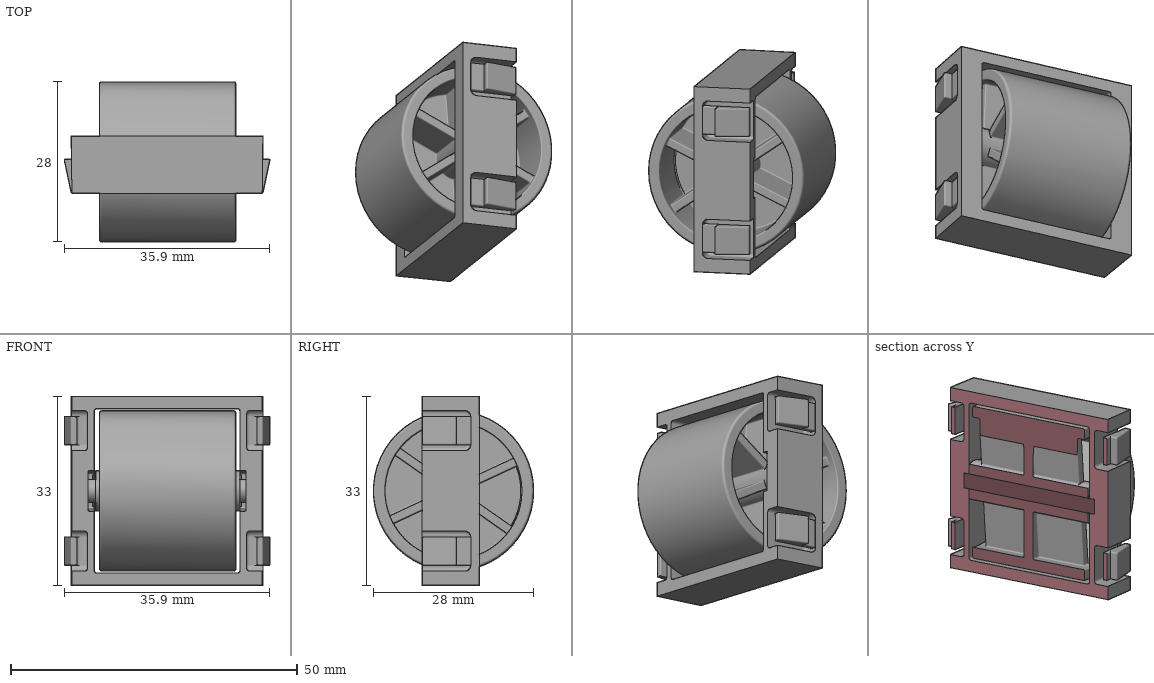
import cadquery as cq
import math

FRAME_REAR_WIDTH = 33.53
FRAME_FRONT_WIDTH = 33.2
FRAME_HEIGHT = 33.0
FRAME_REAR_Y = 4.52
FRAME_FRONT_Y = -5.5
WINDOW_WIDTH = 25.4
WINDOW_HEIGHT = 28.65
WINDOW_CORNER_RADIUS = 0.43

AXLE_RADIUS = 2.0
SLOT_DEPTH = 1.08
SLOT_MOUTH_HEIGHT = 7.1
SLOT_SHOULDER_HEIGHT = 6.03
SLOT_SHOULDER_Y = 0.0
SLOT_FILLET = 0.25
SHOULDER_CHAMFER = 0.3

OVERALL_WIDTH = 35.9
HOOK_CENTER_Z = 10.52
HOOK_HEIGHT = 5.0
HOOK_SLOPE_ANGLE = 12.0
HOOK_LEDGE_Y = 0.5
HOOK_FRONT_Y = -5.4
HOOK_EDGE_FILLET = 0.2
HOOK_SLOPE = math.tan(math.radians(HOOK_SLOPE_ANGLE))
HOOK_TIP_ALLOWANCE = HOOK_EDGE_FILLET * (HOOK_SLOPE + math.hypot(1, HOOK_SLOPE) - 1)
HOOK_TIP_X = OVERALL_WIDTH / 2 + HOOK_TIP_ALLOWANCE
HOOK_FRONT_X = HOOK_TIP_X - HOOK_SLOPE * (HOOK_LEDGE_Y - HOOK_FRONT_Y)
ARM_OUTER_X = 16.55
ARM_INNER_X = 15.72
ARM_ROOT_FILLET = 0.43
POCKET_GAP = 1.0
POCKET_FLOOR_X = 13.9
POCKET_REAR_Y = 3.0
POCKET_CORNER_RADIUS = 1.08
POCKET_FLOOR_FILLET = 0.55

ROLLER_OFFSET_X = 0.1
ROLLER_RADIUS = 14.0
ROLLER_WIDTH = 23.85
ROLLER_EDGE_FILLET = 0.43
RIM_INNER_RADIUS = 11.95
HUB_RADIUS = 3.55
HUB_LENGTH = 25.2
HUB_END_FILLET = 0.18
WEB_THICKNESS = 2.0
SPOKE_COUNT = 6
SPOKE_WIDTH = 1.5
SPOKE_START_ANGLE = 25.0
SPOKE_RECESS = 1.5
POCKET_FILLET = 0.2
SPOKE_EDGE_FILLET = 0.2
LIP_FILLET = 0.2

EDGE_MARGIN = 0.05


def box_between(x0, x1, y0, y1, z0, z1):
    """Box given by its limits along each axis."""
    size = (x1 - x0, y1 - y0, z1 - z0)
    return cq.Workplane("XY").box(*size, centered=False).translate((x0, y0, z0))


def frame_blank():
    """Rectangular ring whose left and right sides draw in toward the front."""
    rear, front = FRAME_REAR_WIDTH / 2, FRAME_FRONT_WIDTH / 2
    outline = [
        (-rear, FRAME_REAR_Y),
        (rear, FRAME_REAR_Y),
        (front, FRAME_FRONT_Y),
        (-front, FRAME_FRONT_Y),
    ]
    block = cq.Workplane("XY").polyline(outline).close().extrude(FRAME_HEIGHT / 2, both=True)
    window = (
        cq.Workplane("XZ")
        .rect(WINDOW_WIDTH, WINDOW_HEIGHT)
        .extrude(FRAME_REAR_Y - FRAME_FRONT_Y, both=True)
        .edges("|Y")
        .fillet(WINDOW_CORNER_RADIUS)
    )
    return block.cut(window)


def axle_slot():
    """Cutter for the -X slot: tapered lead-in, shoulder and round axle seat."""
    wall_x = -WINDOW_WIDTH / 2
    floor_x = wall_x - SLOT_DEPTH
    mouth, shoulder = SLOT_MOUTH_HEIGHT / 2, SLOT_SHOULDER_HEIGHT / 2
    outline = [
        (FRAME_FRONT_Y, -mouth),
        (SLOT_SHOULDER_Y, -shoulder),
        (SLOT_SHOULDER_Y, shoulder),
        (FRAME_FRONT_Y, mouth),
    ]
    lead_in = (
        cq.Workplane("YZ", origin=(floor_x, 0, 0))
        .polyline(outline)
        .close()
        .extrude(SLOT_DEPTH)
        .edges("|X and >Y")
        .fillet(SLOT_FILLET)
    )
    lead_in = lead_in.faces("<X").edges("not <Y").fillet(SLOT_FILLET)
    shoulder_bevel = (
        cq.Workplane("XY")
        .polyline([
            (wall_x, SLOT_SHOULDER_Y),
            (wall_x - SHOULDER_CHAMFER, SLOT_SHOULDER_Y),
            (wall_x, SLOT_SHOULDER_Y + SHOULDER_CHAMFER),
        ])
        .close()
        .extrude(shoulder - SLOT_FILLET, both=True)
    )
    seat = cq.Workplane("YZ", origin=(floor_x, 0, 0)).circle(AXLE_RADIUS).extrude(SLOT_DEPTH)
    return lead_in.union(shoulder_bevel).union(seat)


def hook_pocket():
    """Cutter for one -X pocket, open to the side and to the front, centred on z = 0."""
    half_height = HOOK_HEIGHT / 2 + POCKET_GAP
    front_y = FRAME_FRONT_Y - POCKET_CORNER_RADIUS
    pocket = box_between(
        -HOOK_TIP_X, -POCKET_FLOOR_X, front_y, POCKET_REAR_Y, -half_height, half_height
    )
    pocket = pocket.edges("|X and >Y").fillet(POCKET_CORNER_RADIUS)
    return pocket.faces(">X").edges("not <Y").fillet(POCKET_FLOOR_FILLET)


def snap_hook():
    """One -X spring arm with a wedge catch, rooted in the rear wall of its pocket."""
    outline = [
        (-ARM_INNER_X, POCKET_REAR_Y),
        (-ARM_OUTER_X, POCKET_REAR_Y),
        (-ARM_OUTER_X, HOOK_LEDGE_Y),
        (-HOOK_TIP_X, HOOK_LEDGE_Y),
        (-HOOK_FRONT_X, HOOK_FRONT_Y),
        (-ARM_INNER_X, HOOK_FRONT_Y),
    ]
    hook = cq.Workplane("XY").polyline(outline).close().extrude(HOOK_HEIGHT / 2, both=True)
    root_edges = cq.selectors.BoxSelector(
        (-HOOK_TIP_X, POCKET_REAR_Y - EDGE_MARGIN, -HOOK_HEIGHT),
        (0, POCKET_REAR_Y + EDGE_MARGIN, HOOK_HEIGHT),
        boundingbox=True,
    )
    inner_edges = cq.selectors.BoxSelector(
        (-ARM_INNER_X - EDGE_MARGIN, HOOK_FRONT_Y + EDGE_MARGIN, -HOOK_HEIGHT),
        (0, POCKET_REAR_Y + EDGE_MARGIN, HOOK_HEIGHT),
    )
    ledge_corner = cq.selectors.NearestToPointSelector((-ARM_OUTER_X, HOOK_LEDGE_Y, 0))
    kept_sharp = root_edges + inner_edges + ledge_corner
    rounded_edges = cq.selectors.SubtractSelector(cq.selectors.Selector(), kept_sharp)
    hook = hook.edges(rounded_edges).fillet(HOOK_EDGE_FILLET)
    root_fillet = (
        cq.Workplane("XY")
        .moveTo(-ARM_INNER_X, POCKET_REAR_Y)
        .lineTo(-ARM_INNER_X, POCKET_REAR_Y - ARM_ROOT_FILLET)
        .radiusArc((-ARM_INNER_X + ARM_ROOT_FILLET, POCKET_REAR_Y), ARM_ROOT_FILLET)
        .close()
        .extrude(HOOK_HEIGHT / 2, both=True)
    )
    return hook.union(root_fillet)


def make_frame():
    """Frame with an axle slot and two hooks in pockets on each side."""
    frame = frame_blank()
    pocket, hook, slot = hook_pocket(), snap_hook(), axle_slot()
    for mirrored in (False, True):
        side_slot = slot.mirror("YZ") if mirrored else slot
        frame = frame.cut(side_slot)
        for center_z in (-HOOK_CENTER_Z, HOOK_CENTER_Z):
            side_pocket = pocket.mirror("YZ") if mirrored else pocket
            side_hook = hook.mirror("YZ") if mirrored else hook
            frame = frame.cut(side_pocket.translate((0, 0, center_z)))
            frame = frame.union(side_hook.translate((0, 0, center_z)))
    return frame


def x_cylinder(radius, length):
    """Cylinder along X, centred on the origin."""
    return cq.Workplane("YZ", origin=(-length / 2, 0, 0)).circle(radius).extrude(length)


def hub_region():
    """Selects whatever lies near the hub rather than near the rim."""
    half_size = RIM_INNER_RADIUS / 2
    return cq.selectors.BoxSelector(
        (-ROLLER_WIDTH, -half_size, -half_size), (ROLLER_WIDTH, half_size, half_size)
    )


def make_spider():
    """Web and spokes with rounded spoke edges, trimmed to the bore of the rim."""
    face_x = ROLLER_WIDTH / 2 - SPOKE_RECESS
    pocket_depth = face_x - WEB_THICKNESS / 2
    pockets = x_cylinder(ROLLER_RADIUS, pocket_depth).cut(x_cylinder(HUB_RADIUS, pocket_depth))
    spoke_pair = cq.Workplane("XY").box(pocket_depth, 2 * ROLLER_RADIUS, SPOKE_WIDTH)
    for index in range(SPOKE_COUNT // 2):
        angle = SPOKE_START_ANGLE + index * 360 / SPOKE_COUNT
        pockets = pockets.cut(spoke_pair.rotate((0, 0, 0), (1, 0, 0), angle))
    pockets = pockets.edges("|X").edges(hub_region()).fillet(POCKET_FILLET)
    pocket_center_x = face_x - pocket_depth / 2
    spider = x_cylinder(ROLLER_RADIUS, 2 * face_x)
    for center_x in (-pocket_center_x, pocket_center_x):
        spider = spider.cut(pockets.translate((center_x, 0, 0)))
    outer_arcs = cq.selectors.RadiusNthSelector(-1)
    spoke_edges = cq.selectors.SubtractSelector(cq.selectors.Selector(), outer_arcs)
    spider = spider.faces("<X or >X").edges(spoke_edges).fillet(SPOKE_EDGE_FILLET)
    return spider.intersect(x_cylinder(RIM_INNER_RADIUS, ROLLER_WIDTH))


def make_roller():
    """Rim, web, spokes and hub, bored for the axle."""
    rim = x_cylinder(ROLLER_RADIUS, ROLLER_WIDTH).edges().fillet(ROLLER_EDGE_FILLET)
    rim = rim.cut(x_cylinder(RIM_INNER_RADIUS, ROLLER_WIDTH))
    rim_lips = cq.selectors.RadiusNthSelector(0)
    rim = rim.faces("<X or >X").edges(rim_lips).fillet(LIP_FILLET)
    roller = rim.union(make_spider())
    floor_x = WEB_THICKNESS / 2
    rim_corners = cq.selectors.SubtractSelector(cq.selectors.Selector(), hub_region())
    floor_edges = cq.selectors.BoxSelector(
        (-floor_x - EDGE_MARGIN, -ROLLER_RADIUS, -ROLLER_RADIUS),
        (floor_x + EDGE_MARGIN, ROLLER_RADIUS, ROLLER_RADIUS),
        boundingbox=True,
    )
    roller = roller.edges("|X").edges(rim_corners).fillet(POCKET_FILLET)
    roller = roller.edges(floor_edges).fillet(POCKET_FILLET)
    roller = roller.union(x_cylinder(HUB_RADIUS, HUB_LENGTH).edges().fillet(HUB_END_FILLET))
    roller = roller.cut(x_cylinder(AXLE_RADIUS, HUB_LENGTH))
    return roller.translate((ROLLER_OFFSET_X, 0, 0))


frame = make_frame()
roller = make_roller()
axle = x_cylinder(AXLE_RADIUS, WINDOW_WIDTH + 2 * SLOT_DEPTH)
result = cq.Compound.makeCompound([frame.val(), roller.val(), axle.val()])